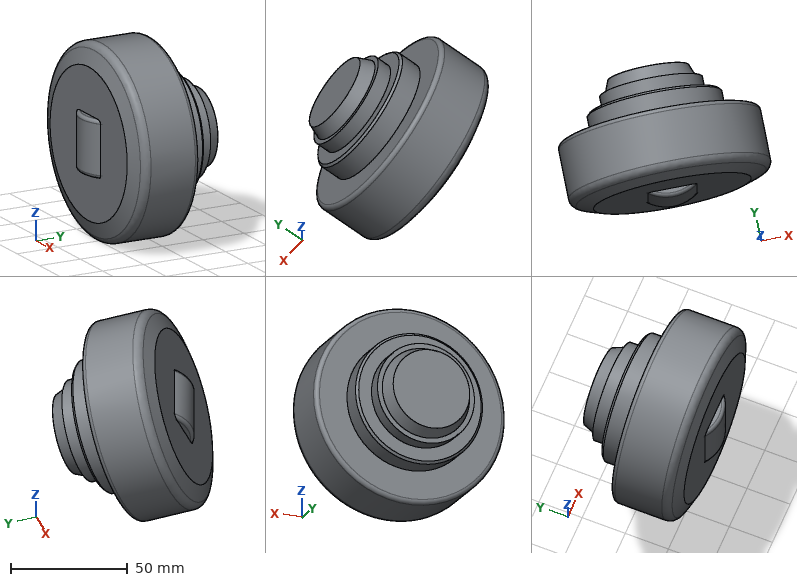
import cadquery as cq
import math


roller_diameter = 88.4
roller_width = 30.0
front_face_diameter = 68.95
front_cone_angle = 20.0
front_round = 4.0
rear_round = 1.95

collar_diameter = 59.0
collar_end = 40.6
collar_chamfer = 1.1
neck_diameter = 45.0
neck_end = 47.3
tip_base_diameter = 40.5
tip_end_diameter = 35.5
tip_end = 53.5

side_roller_diameter = 36.0
side_roller_length = 26.25
side_roller_round = 1.6
side_roller_projection = 3.5
side_roller_center_y = side_roller_diameter / 2 - side_roller_projection


def make_side_roller():
    """Cylinder along Z with rounded ends."""
    return (
        cq.Workplane("XY", origin=(0, side_roller_center_y, -side_roller_length / 2))
        .circle(side_roller_diameter / 2)
        .extrude(side_roller_length)
        .edges("%CIRCLE")
        .fillet(side_roller_round)
    )


def make_main_roller():
    """Disc with a conical front rim and rounded outer edges."""
    outer_radius = roller_diameter / 2
    face_radius = front_face_diameter / 2
    cone_depth = (outer_radius - face_radius) * math.tan(math.radians(front_cone_angle))
    disc = (
        cq.Workplane("XY")
        .moveTo(0, 0)
        .lineTo(face_radius, 0)
        .lineTo(outer_radius, cone_depth)
        .lineTo(outer_radius, roller_width)
        .lineTo(0, roller_width)
        .close()
        .revolve(360, (0, 0), (0, 1))
    )
    front_rim = cq.selectors.BoxSelector(
        (-roller_diameter, cone_depth / 2, -roller_diameter),
        (roller_diameter, roller_width / 2, roller_diameter),
    )
    disc = disc.edges(front_rim).edges("%CIRCLE").fillet(front_round)
    return disc.faces(">Y").edges().fillet(rear_round)


def make_shank():
    """Chamfered collar, neck and tapered tip, stacked along +Y."""
    collar_radius = collar_diameter / 2
    neck_radius = neck_diameter / 2
    return (
        cq.Workplane("XY")
        .moveTo(0, roller_width)
        .lineTo(collar_radius, roller_width)
        .lineTo(collar_radius, collar_end - collar_chamfer)
        .lineTo(collar_radius - collar_chamfer, collar_end)
        .lineTo(neck_radius, collar_end)
        .lineTo(neck_radius, neck_end)
        .lineTo(tip_base_diameter / 2, neck_end)
        .lineTo(tip_end_diameter / 2, tip_end)
        .lineTo(0, tip_end)
        .close()
        .revolve(360, (0, 0), (0, 1))
    )


side_roller = make_side_roller()

bearing_body = make_main_roller().union(make_shank()).cut(side_roller)

result = cq.Compound.makeCompound([bearing_body.solids().val(), side_roller.val()])